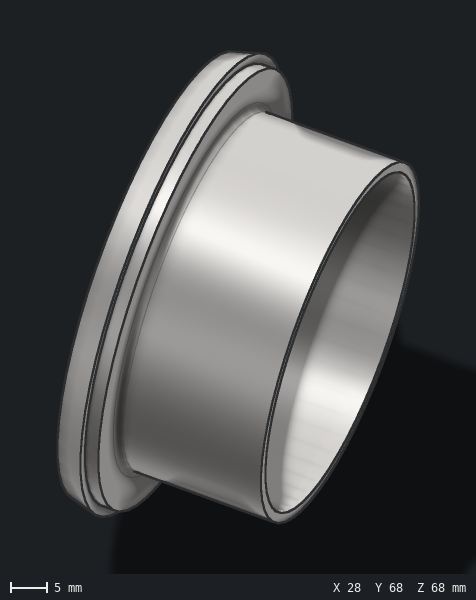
import cadquery as cq
import math

total_length = 28.0
flange_diameter = 68.0
shoulder_diameter = 65.0
tube_diameter = 53.0
bore_diameter = 50.0

flange_thickness = 4.0
shoulder_thickness = 2.05

rim_taper_angle = 15.0
neck_fillet_radius = 1.0

flange_radius = flange_diameter / 2
face_radius = flange_radius - flange_thickness * math.tan(math.radians(rim_taper_angle))
shoulder_radius = shoulder_diameter / 2
tube_radius = tube_diameter / 2
bore_radius = bore_diameter / 2
shoulder_end = flange_thickness + shoulder_thickness

fillet_center_x = shoulder_end + neck_fillet_radius
fillet_center_y = tube_radius + neck_fillet_radius
fillet_mid_offset = neck_fillet_radius * math.sqrt(0.5)
fillet_middle = (fillet_center_x - fillet_mid_offset, fillet_center_y - fillet_mid_offset)

profile = (
    cq.Workplane("XY")
    .moveTo(0, bore_radius)
    .lineTo(0, face_radius)
    .lineTo(flange_thickness, flange_radius)
    .lineTo(flange_thickness, shoulder_radius)
    .lineTo(shoulder_end, shoulder_radius)
    .lineTo(shoulder_end, fillet_center_y)
    .threePointArc(fillet_middle, (fillet_center_x, tube_radius))
    .lineTo(total_length, tube_radius)
    .lineTo(total_length, bore_radius)
    .close()
)

result = profile.revolve(360, (0, 0, 0), (1, 0, 0))